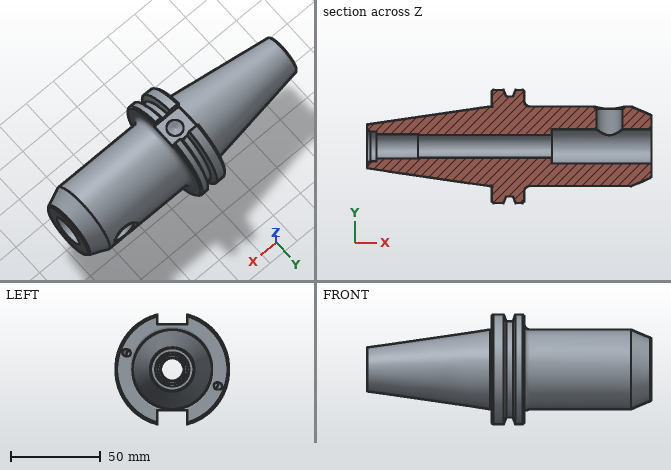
import cadquery as cq
import math

total_length = 158.2
gauge_x = 68.4
flange_start_x = 69.3
flange_end_x = 87.5
nose_start_x = 146.9

gauge_diameter = 44.5
body_diameter = 44.5
neck_diameter = 43.8
flange_diameter = 63.3
nose_diameter = 35.5

taper_ratio = 7 / 24 / 2
shank_chamfer = 0.5
face_recess_diameter = 47.2
face_recess_depth = 0.5

flange_chamfer = 1.0
groove_x = 79.3
groove_floor_width = 3.6
groove_top_width = 6.5
groove_floor_diameter = 56.0
root_fillet = 3.0
nose_chamfer = 0.8

slot_width = 16.5
top_slot_floor_z = 25.2
bottom_slot_floor_z = 22.8
slot_dimple_diameter = 9.5
drill_point_angle = 118.0

coolant_radius = 27.0
coolant_position_angle = 20.0
coolant_tilt_angle = 35.0
coolant_diameter = 4.0
coolant_depth = 3.2

mouth_diameter = 19.0
pilot_diameter = 16.3
mouth_depth = 1.9
pilot_end_x = 5.2
thread_diameter = 13.5
thread_end_x = 28.5
through_diameter = 12.5
tool_bore_diameter = 19.0
tool_bore_start_x = 102.9

screw_x = 134.8
screw_diameter = 14.4
screw_mouth_diameter = 17.4


def x_cylinder(diameter, start_x, end_x):
    return cq.Workplane("YZ", origin=(start_x, 0, 0)).circle(diameter / 2).extrude(end_x - start_x)


def drill_point(diameter, start, direction):
    """Cone left by a drill tip, widest at its start."""
    radius = diameter / 2
    point_length = radius / math.tan(math.radians(drill_point_angle / 2))
    return cq.Solid.makeCone(radius, 0, point_length, cq.Vector(*start), cq.Vector(*direction))


def outer_body():
    gauge_radius = gauge_diameter / 2
    body_radius = body_diameter / 2
    neck_radius = neck_diameter / 2
    flange_radius = flange_diameter / 2
    groove_radius = groove_floor_diameter / 2
    nose_radius = nose_diameter / 2
    recess_radius = face_recess_diameter / 2
    small_radius = gauge_radius - gauge_x * taper_ratio
    arc_inset = root_fillet * (1 - math.sqrt(0.5))

    def taper_radius(x):
        return small_radius + x * taper_ratio

    profile = (
        cq.Workplane("XY")
        .moveTo(0, 0)
        .lineTo(0, small_radius - shank_chamfer)
        .lineTo(shank_chamfer, taper_radius(shank_chamfer))
        .lineTo(gauge_x, gauge_radius)
        .lineTo(gauge_x, neck_radius)
        .lineTo(flange_start_x + face_recess_depth, neck_radius)
        .lineTo(flange_start_x, recess_radius)
        .lineTo(flange_start_x, flange_radius - flange_chamfer)
        .lineTo(flange_start_x + flange_chamfer, flange_radius)
        .lineTo(groove_x - groove_top_width / 2, flange_radius)
        .lineTo(groove_x - groove_floor_width / 2, groove_radius)
        .lineTo(groove_x + groove_floor_width / 2, groove_radius)
        .lineTo(groove_x + groove_top_width / 2, flange_radius)
        .lineTo(flange_end_x - flange_chamfer, flange_radius)
        .lineTo(flange_end_x, flange_radius - flange_chamfer)
        .lineTo(flange_end_x, body_radius + root_fillet)
        .threePointArc(
            (flange_end_x + arc_inset, body_radius + arc_inset),
            (flange_end_x + root_fillet, body_radius),
        )
        .lineTo(nose_start_x, body_radius)
        .lineTo(total_length - nose_chamfer, nose_radius)
        .lineTo(total_length, nose_radius - nose_chamfer)
        .lineTo(total_length, 0)
        .close()
    )
    return profile.revolve(360, (0, 0, 0), (1, 0, 0))


def axial_bores():
    mouth = cq.Workplane(
        cq.Solid.makeCone(mouth_diameter / 2, pilot_diameter / 2, mouth_depth, dir=cq.Vector(1, 0, 0))
    )
    return (
        x_cylinder(through_diameter, 0, total_length)
        .union(mouth)
        .union(x_cylinder(pilot_diameter, 0, pilot_end_x))
        .union(x_cylinder(thread_diameter, 0, thread_end_x))
        .union(x_cylinder(tool_bore_diameter, tool_bore_start_x, total_length))
    )


def drive_slots():
    height = flange_diameter / 2
    length = flange_end_x + root_fillet - flange_start_x
    block = cq.Workplane("XY").box(length, slot_width, height, centered=(False, True, False))
    top = block.translate((flange_start_x, 0, top_slot_floor_z))
    bottom = block.translate((flange_start_x, 0, -bottom_slot_floor_z - height))
    return top.union(bottom)


def slot_dimple():
    start = (groove_x, 0, top_slot_floor_z)
    return cq.Workplane(drill_point(slot_dimple_diameter, start, (0, 0, -1)))


def coolant_hole(side):
    """Hole on the +Y, +Z side for side = 1 and diametrically opposite for side = -1."""
    position = math.radians(coolant_position_angle)
    tilt = math.radians(coolant_tilt_angle)
    outward_y = side * math.cos(position)
    outward_z = side * math.sin(position)
    direction = cq.Vector(math.cos(tilt), -math.sin(tilt) * outward_y, -math.sin(tilt) * outward_z)
    mouth = cq.Vector(flange_start_x, coolant_radius * outward_y, coolant_radius * outward_z)
    lead_in = coolant_diameter / 2
    shaft = cq.Solid.makeCylinder(
        coolant_diameter / 2, lead_in + coolant_depth, mouth - direction * lead_in, direction
    )
    end = mouth + direction * coolant_depth
    return cq.Workplane(shaft.fuse(drill_point(coolant_diameter, end.toTuple(), direction.toTuple())))


def screw_hole():
    countersink_depth = (screw_mouth_diameter - screw_diameter) / 2
    axis = cq.Vector(0, 1, 0)
    hole = cq.Solid.makeCylinder(screw_diameter / 2, body_diameter / 2, cq.Vector(screw_x, 0, 0), axis)
    countersink = cq.Solid.makeCone(
        screw_mouth_diameter / 2,
        screw_diameter / 2,
        countersink_depth,
        cq.Vector(screw_x, body_diameter / 2, 0),
        -axis,
    )
    return cq.Workplane(hole.fuse(countersink))


result = outer_body()
result = result.cut(axial_bores())
result = result.cut(drive_slots())
result = result.cut(slot_dimple())
for side in (1, -1):
    result = result.cut(coolant_hole(side))
result = result.cut(screw_hole())